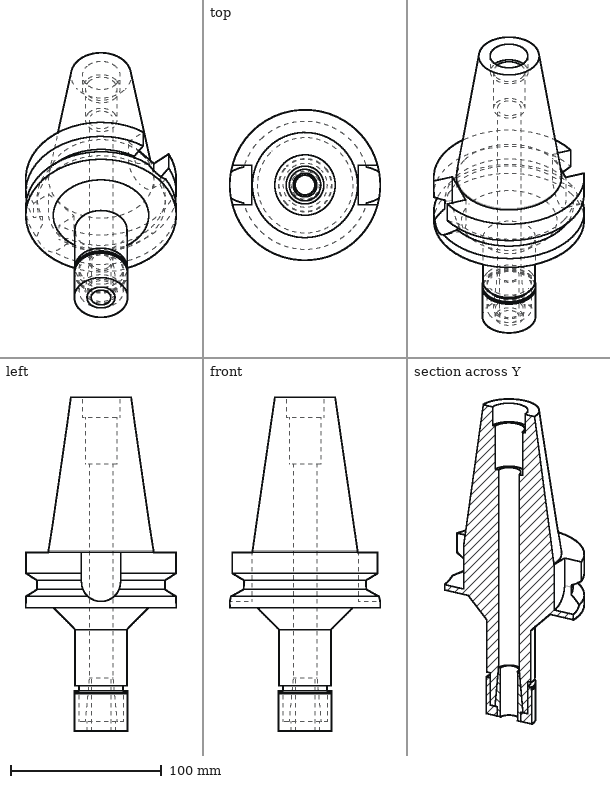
import cadquery as cq

total_length = 221.8

gauge_height = 120.0
taper_top_radius = 20.07
taper_base_radius = 34.93

flange_radius = 50.02
flange_top = 118.7
flange_thickness = 36.8
flange_bottom = flange_top - flange_thickness
groove_floor_radius = 42.5
groove_floor_top = flange_top - 18.6
groove_floor_bottom = flange_top - 24.6
groove_flank_height = 4.7

slot_width = 26.0
slot_depth = 32.5
slot_floor_distance = 35.3

nose_radius = 17.3
cone_bottom = 67.5
cone_top_radius = nose_radius + flange_bottom - cone_bottom
neck_radius = 14.6
neck_top = 30.0
neck_bottom = 6.7

counterbore_radius = 12.53
counterbore_depth = 13.3
stud_bore_radius = 10.5
stud_bore_depth = 44.4
through_bore_radius = 7.87

collet_bore_radius = 6.55
collet_top = 35.5
collet_base_radius = 10.6
collet_nose_radius = 9.3

nut_radius = 17.7
nut_height = 26.6
nut_groove_top = nut_height - 1.3
nut_groove_width = 0.7
nut_groove_depth = 0.2


def revolve_profile(points):
    """Revolve a closed (radius, height) outline about the Z axis."""
    return cq.Workplane("XZ").polyline(points).close().revolve(360, (0, 0), (0, 1))


def cylinder(radius, bottom, top):
    return cq.Workplane("XY").workplane(offset=bottom).circle(radius).extrude(top - bottom)


def make_drive_slot():
    """Round-ended slot on the +X side, open at the top of the flange."""
    half_width = slot_width / 2
    arc_center = flange_top - slot_depth + half_width
    return (
        cq.Workplane("YZ")
        .workplane(offset=slot_floor_distance)
        .moveTo(-half_width, flange_top)
        .lineTo(-half_width, arc_center)
        .threePointArc((0, flange_top - slot_depth), (half_width, arc_center))
        .lineTo(half_width, flange_top)
        .close()
        .extrude(flange_radius)
    )


def make_collet_blank():
    """Solid tapered collet, also used to cut its seats."""
    return revolve_profile([
        (0, 0),
        (collet_nose_radius, 0),
        (collet_nose_radius, neck_bottom),
        (collet_base_radius, neck_bottom),
        (through_bore_radius, collet_top),
        (0, collet_top),
    ])


def make_holder():
    body = revolve_profile([
        (0, neck_bottom),
        (neck_radius, neck_bottom),
        (neck_radius, neck_top),
        (nose_radius, neck_top),
        (nose_radius, cone_bottom),
        (cone_top_radius, flange_bottom),
        (flange_radius, flange_bottom),
        (flange_radius, groove_floor_bottom - groove_flank_height),
        (groove_floor_radius, groove_floor_bottom),
        (groove_floor_radius, groove_floor_top),
        (flange_radius, groove_floor_top + groove_flank_height),
        (flange_radius, flange_top),
        (taper_base_radius, flange_top),
        (taper_base_radius, gauge_height),
        (taper_top_radius, total_length),
        (0, total_length),
    ])
    slot = make_drive_slot()
    for angle in (0, 180):
        body = body.cut(slot.rotate((0, 0, 0), (0, 0, 1), angle))
    body = body.cut(cylinder(through_bore_radius, neck_bottom, total_length))
    body = body.cut(cylinder(stud_bore_radius, total_length - stud_bore_depth, total_length))
    body = body.cut(cylinder(counterbore_radius, total_length - counterbore_depth, total_length))
    return body.cut(make_collet_blank())


def make_collet():
    return make_collet_blank().cut(cylinder(collet_bore_radius, 0, collet_top))


def make_nut():
    """Nut around the neck, with a fine ring groove below its upper edge."""
    groove_bottom = nut_groove_top - nut_groove_width
    ring = cylinder(nut_radius, groove_bottom, nut_groove_top)
    groove = ring.cut(cylinder(nut_radius - nut_groove_depth, groove_bottom, nut_groove_top))
    nut = cylinder(nut_radius, 0, nut_height).cut(groove)
    nut = nut.cut(cylinder(neck_radius, neck_bottom, nut_height))
    return nut.cut(cylinder(collet_nose_radius, 0, neck_bottom))


holder = make_holder()
collet = make_collet()
nut = make_nut()

result = cq.Compound.makeCompound([holder.val(), collet.val(), nut.val()])